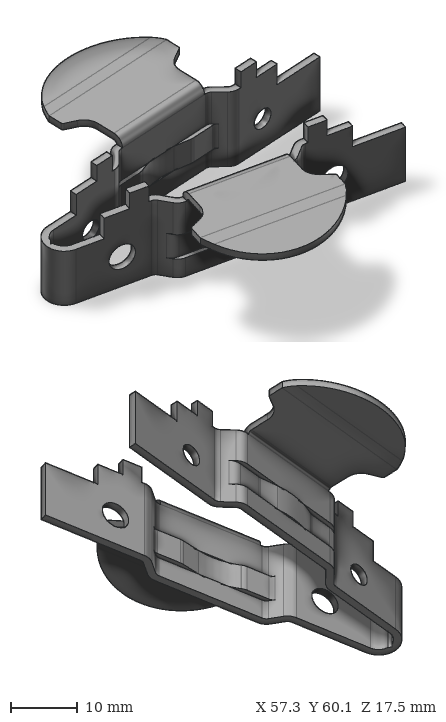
import cadquery as cq
import math

thickness = 1.25
bend_radius = 1.25
leg_tilt = math.radians(7.7)
overall_length = 60.12

u_bend_inner_radius = 2.25
u_bend_outer_radius = u_bend_inner_radius + thickness
crease_half_width = 0.45
crease_floor = 0.85

leg_middle_distance = 26.57
end_rise = overall_length - u_bend_outer_radius + u_bend_inner_radius * math.sin(leg_tilt)
leg_end = end_rise / math.cos(leg_tilt) - leg_middle_distance
low_height = 10.5
shoulder_height = 14.5
tab_height = 17.53
shoulder_half_length = 21.65
tab_outer = 17.2
tab_inner = 13.85
hole_offset = 18.5
hole_height = 5.72
left_hole_diameter = 3.6
right_hole_diameter = 4.6

jog_corner = 12.38
middle_depth = 2.77
strip_depth = 2.04
strip_bottom = 3.6
strip_top = 8.33
strip_flat_start = 5.5
hollow_apex_offset = -1.5
hollow_apex_depth = 3.53
hollow_radius = 13.0

plate_top = 16.3
plate_fold_radius = 0.55
plate_droop = math.radians(8.2)
plate_droop_radius = 14.5
plate_droop_corner = 15.55
plate_tip = 22.94
plate_neck_half_width = 8.85
plate_half_width = 12.65
plate_horn_inner = 11.7
plate_round_start = 14.5
notch_slope = math.radians(27)
notch_radius = 3.0
horn_radius = 0.4


def unit(start, end):
    """Unit direction from one 2D point to another."""
    length = math.dist(start, end)
    return ((end[0] - start[0]) / length, (end[1] - start[1]) / length)


def turn_angle(before, after):
    """Signed turn between two unit directions, positive to the left."""
    cross = before[0] * after[1] - before[1] * after[0]
    dot = before[0] * after[0] + before[1] * after[1]
    return math.atan2(cross, dot)


def add_rounded_path(sketch, corners):
    """Continue a sketch to each (x, y, radius) corner, rounding it; the last one is plain."""
    for previous, (x, y, radius), following in zip(corners, corners[1:], corners[2:]):
        before = unit(previous[:2], (x, y))
        after = unit((x, y), following[:2])
        half_turn = abs(turn_angle(before, after)) / 2
        setback = radius * math.tan(half_turn)
        start = (x - before[0] * setback, y - before[1] * setback)
        end = (x + after[0] * setback, y + after[1] * setback)
        inward = unit((0, 0), (after[0] - before[0], after[1] - before[1]))
        sagitta = radius / math.cos(half_turn) - radius
        middle = (x + inward[0] * sagitta, y + inward[1] * sagitta)
        sketch = sketch.lineTo(*start).threePointArc(middle, end)
    return sketch.lineTo(*corners[-1][:2])


def sheet_faces(corners):
    """Both faces of a bent sheet lying to the left of a path of (x, y, inside radius) corners."""
    near = []
    far = []
    for index, (x, y, radius) in enumerate(corners):
        first = max(index, 1)
        last = min(index, len(corners) - 2)
        before = unit(corners[first - 1][:2], corners[first][:2])
        after = unit(corners[last][:2], corners[last + 1][:2])
        turn = turn_angle(before, after)
        normal = unit((0, 0), (-before[1] - after[1], before[0] + after[0]))
        reach = thickness / math.cos(turn / 2)
        near_radius = radius if turn < 0 else radius + thickness
        far_radius = radius if turn > 0 else radius + thickness
        near.append((x, y, near_radius))
        far.append((x + normal[0] * reach, y + normal[1] * reach, far_radius))
    return near, far


def bent_sheet(plane, corners, width):
    """Extrude a bent sheet whose one face follows the given corners."""
    near, far = sheet_faces(corners)
    sketch = add_rounded_path(cq.Workplane(plane).moveTo(*near[0][:2]), near)
    sketch = sketch.lineTo(*far[-1][:2])
    sketch = add_rounded_path(sketch, far[::-1])
    return sketch.close().extrude(width)


def block(u_start, u_end, z_start, z_end):
    """Box crossing the whole jogged depth of a leg."""
    depth = 4 * (middle_depth + thickness)
    return (
        cq.Workplane("XY")
        .box(u_end - u_start, depth, z_end - z_start, centered=False)
        .translate((u_start, -depth / 2, z_start))
    )


def jogged_band(depth, middle_corners=()):
    """Full-height leg sheet in leg axes (u, v, z) with its middle stretch set outward."""
    jog_top = jog_corner - depth
    corners = [
        (-leg_middle_distance, 0, 0),
        (-jog_corner, 0, bend_radius),
        (-jog_top, depth, bend_radius),
        *middle_corners,
        (jog_top, depth, bend_radius),
        (jog_corner, 0, bend_radius),
        (leg_end, 0, 0),
    ]
    return bent_sheet("XY", corners, tab_height)


def edge_and_hole_cuts(hole_diameter):
    """Material to remove above the stepped top edge and through the two holes."""
    cut = block(-tab_inner, tab_inner, shoulder_height, tab_height)
    for side in (-1, 1):
        beyond_tab = sorted((side * tab_outer, side * leg_end))
        cut = cut.union(block(*beyond_tab, shoulder_height, tab_height))
        beyond_shoulder = sorted((side * shoulder_half_length, side * leg_end))
        cut = cut.union(block(*beyond_shoulder, low_height, tab_height))
        hole = (
            cq.Workplane("XZ")
            .center(side * hole_offset, hole_height)
            .circle(hole_diameter / 2)
            .extrude(2 * thickness, both=True)
        )
        cut = cut.union(hole)
    return cut


def grip_strip():
    """Strip lanced out of the middle stretch, hollowed to seat a round body."""
    band = jogged_band(
        strip_depth,
        [
            (-strip_flat_start, strip_depth, bend_radius),
            (hollow_apex_offset, hollow_apex_depth, hollow_radius),
            (strip_flat_start, strip_depth, bend_radius),
        ],
    )
    return band.intersect(block(-jog_corner, jog_corner, strip_bottom, strip_top))


def plate_outline():
    """Outline of the finger plate seen from above, in (u, v)."""
    notch_depth = (plate_half_width - plate_neck_half_width) * math.tan(notch_slope)
    notch_corner = plate_horn_inner - notch_depth
    right_side = [
        (plate_neck_half_width, 0, 0),
        (plate_neck_half_width, notch_corner, notch_radius),
        (plate_half_width, plate_horn_inner, horn_radius),
        (plate_half_width, plate_round_start, 0),
    ]
    left_side = [(-u, v, radius) for u, v, radius in right_side[::-1]]
    sketch = cq.Workplane("XY").moveTo(*right_side[0][:2])
    sketch = add_rounded_path(sketch, right_side)
    sketch = sketch.threePointArc((0, plate_tip), left_side[0][:2])
    sketch = add_rounded_path(sketch, left_side)
    return sketch.close().extrude(2 * tab_height)


def finger_plate():
    """Plate folded outward from the top of the middle stretch and drooping at its tip."""
    reach = plate_tip + thickness
    droop = (reach - plate_droop_corner) * math.tan(plate_droop)
    top_face = [
        (reach, plate_top - droop, 0),
        (plate_droop_corner, plate_top, plate_droop_radius),
        (middle_depth, plate_top, plate_fold_radius),
        (middle_depth, shoulder_height - thickness, 0),
    ]
    sheet = bent_sheet("YZ", top_face, plate_half_width)
    sheet = sheet.union(sheet.mirror("YZ"))
    return sheet.intersect(plate_outline())


def leg(hole_diameter):
    """One leg in leg axes, from the U-bend tangent to the free end."""
    body = jogged_band(middle_depth)
    body = body.cut(block(-jog_corner, jog_corner, strip_bottom, strip_top))
    body = body.cut(edge_and_hole_cuts(hole_diameter))
    return body.union(grip_strip()).union(finger_plate())


def placed_leg(hole_diameter):
    """Right-hand leg tilted and set tangent to the U-bend."""
    aligned = leg(hole_diameter).mirror("XZ").rotate((0, 0, 0), (0, 0, 1), 90 - math.degrees(leg_tilt))
    along = (math.sin(leg_tilt), math.cos(leg_tilt))
    outward = (math.cos(leg_tilt), -math.sin(leg_tilt))
    x = u_bend_inner_radius * outward[0] + leg_middle_distance * along[0]
    y = u_bend_inner_radius * outward[1] + leg_middle_distance * along[1]
    return aligned.translate((x, u_bend_outer_radius + y, 0))


def u_bend():
    """Round strip between the legs, creased along its inside."""

    def rim(radius, side):
        """Point where a face of the bend meets the leg on the given side."""
        return (side * radius * math.cos(leg_tilt), -radius * math.sin(leg_tilt))

    crease_top = -math.sqrt(u_bend_inner_radius**2 - crease_half_width**2)
    return (
        cq.Workplane("XY")
        .center(0, u_bend_outer_radius)
        .moveTo(*rim(u_bend_outer_radius, -1))
        .threePointArc((0, -u_bend_outer_radius), rim(u_bend_outer_radius, 1))
        .lineTo(*rim(u_bend_inner_radius, 1))
        .radiusArc((crease_half_width, crease_top), u_bend_inner_radius)
        .lineTo(0, crease_floor - u_bend_outer_radius)
        .lineTo(-crease_half_width, crease_top)
        .radiusArc(rim(u_bend_inner_radius, -1), u_bend_inner_radius)
        .close()
        .extrude(low_height)
    )


right_leg = placed_leg(right_hole_diameter)
left_leg = placed_leg(left_hole_diameter).mirror("YZ")
result = u_bend().union(right_leg).union(left_leg).clean()